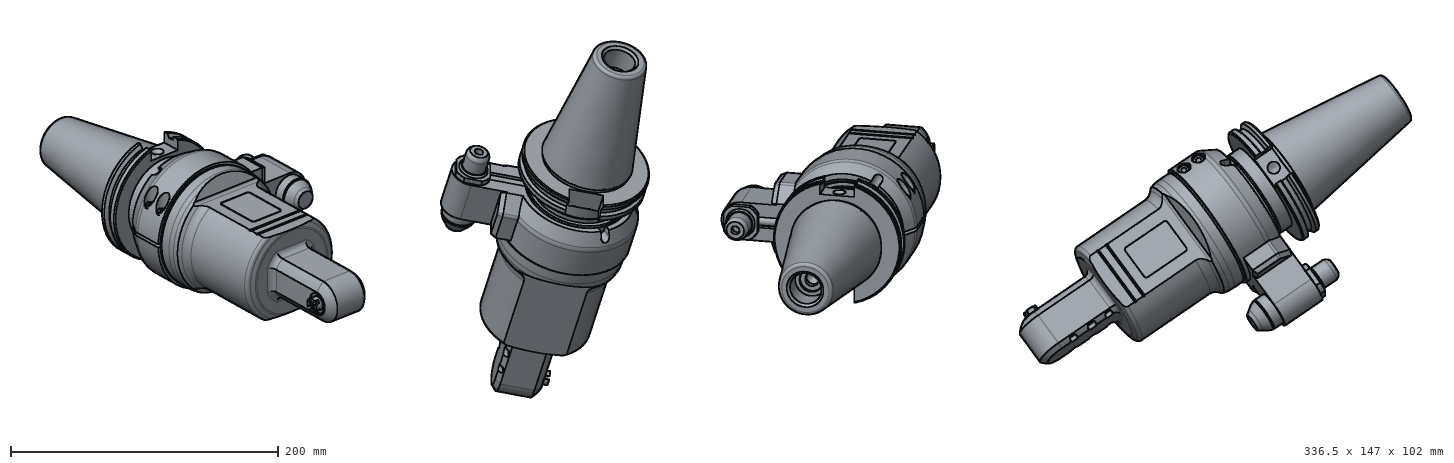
import cadquery as cq
import math


TAPER_END_R = 20.5
GAUGE_R = 35.0
GAUGE_X = 101.5
TAPER_NOSE_FILLET = 2.7
UNDERCUT_R = 34.0
FLANGE_X = 105.0
FLANGE_END_X = 121.0
FLANGE_R = 48.8
FLANGE_CHAMFER = 1.0
GRIP_GROOVE_R = 45.8
GRIP_GROOVE_X = 110.7
GRIP_GROOVE_END_X = 114.8
NECK_R = 35.0
NECK_END_X = 132.3
NECK_CHAMFER = 1.5
DRIVE_SLOT_WIDTH = 26.3
TOP_SLOT_FLOOR = 37.7
BOTTOM_SLOT_FLOOR = 35.0
DIMPLE_D = 9.5
DIMPLE_DEPTH = 4.0
BORE_MOUTH_R = 14.0
BORE_R = 12.0
BORE_DEPTH = 19.5
BORE_STEP_D = 18.0
BORE_STEP_R = BORE_STEP_D / 2
BORE_STEP_DEPTH = 22.2
BORE_DRILL_D = 10.5
BORE_DRILL_R = BORE_DRILL_D / 2
BORE_DRILL_DEPTH = 27.0

HOUSING_NECK_R = 34.5
BARREL_R = 37.5
COLLAR_R = 49.0
COLLAR_STEP_LENGTH = 1.7
COLLAR_STEP_R = 48.8
COLLAR_CYLINDER_END_X = 183.8
COLLAR_TAPER_X = 188.5
COLLAR_TAPER_R = 48.8
COLLAR_EDGE_X = 192.2
COLLAR_EDGE_R = 47.8
BODY_D = 85.0
BODY_R = BODY_D / 2
BODY_BLEND_ANGLE = 45.0
BODY_X = 201.5
BODY_BLEND_R = 10.0
BODY_END_X = 268.0
BODY_END_CONE_X = 266.5
BODY_END_FACE_R = 35.0
BODY_END_ROUND = 3.0
FLAT_Z = 35.0
FLAT_X = 193.5
FLAT_WALL_TOP_X = 186.5
FLAT_WALL_FOOT_X = 191.5
FLAT_WALL_FOOT_RISE = 2.5
PLATE_X = 201.5
PLATE_LENGTH = 38.7
PLATE_WIDTH = 28.3
PLATE_CORNER_R = 2.0
FLAT_GROOVE_XS = (249.0, 256.8)
FLAT_GROOVE_WIDTH = 1.5
ENGRAVING_DEPTH = 0.5

ARM_TIP_X = 336.5
ARM_HALF_HEIGHT = 16.8
ARM_ROUND_D = 42.7
ARM_ROUND_R = ARM_ROUND_D / 2
ARM_FRONT_Y = -19.2
ARM_BACK_Y = 17.0
ARM_ROOT_FILLET = 4.7
SPINDLE_X = ARM_TIP_X - ARM_HALF_HEIGHT
ARM_HOLES = ((275.5, 6.0), (290.8, 7.0), (307.5, 6.0))
ARM_HOLE_Z = 13.5
ARM_HOLE_DEPTH = 3.7
SPINDLE_RECESS_D = 16.0
SPINDLE_RECESS_DEPTH = 1.0

SPINDLE_D = 11.0
SPINDLE_BORE_D = 5.0
SPINDLE_TIP_Y = -24.0
SPINDLE_SEAT_Y = -12.5
SPINDLE_SLOT_WIDTH = 2.5
SPINDLE_SLOT_DEPTH = 3.5
SPINDLE_SLOT_ANGLE = 45.0

RING_X = 136.0
RING_END_X = 173.7
RING_D = 102.0
RING_R = RING_D / 2
RING_FACE_R = 44.0
RING_CONE_ANGLE = 30.0
RING_EDGE_FILLET = 7.5
RING_BORE_CHAMFER = 2.5
SLIT_WIDTH = 2.7
NOTCH_ANGLE = 30.0
NOTCH_WIDTH = 7.0
NOTCH_END_X = 144.0
NOTCH_FLOOR_R = 38.7
SCREW_XS = (153.0, 166.5)
SCREW_Y = -40.5
SCREW_POCKET_D = 10.0
SCREW_POCKET_FLOOR = 22.0
SCREW_HEAD_D = 8.0
SCREW_HEAD_HEIGHT = 1.7
SCREW_SOCKET_D = 4.0
SCREW_SOCKET_DEPTH = 1.5
SCREW_SHANK_D = 5.5
STOP_ARM_END_X = 170.3
STOP_ARM_HALF_WIDTH = 14.8
OVERALL_WIDTH = 147.0
STOP_ARM_TOP_Y = OVERALL_WIDTH - RING_R
STOP_BLOCK_Y = 58.0
STOP_BLOCK_WIDTH = 57.5
STOP_BLOCK_HALF_WIDTH = STOP_BLOCK_WIDTH / 2
STOP_BLOCK_SLOPE_X = 147.5
STOP_BLOCK_SLOPE_Z = 15.8
STOP_BLOCK_BEVEL_HEIGHT = 4.0
STOP_BLOCK_BEVEL_WIDTH = 1.7
STOP_BLOCK_CORNER_R = 3.5
STOP_BLOCK_BASE_Y = 16.8
RELIEF_WIDTH = 8.5
RELIEF_DEPTH = 4.0
RELIEF_TOP_Y = 70.7
ROD_D = 6.5

PIN_Y = 80.5
PIN_SHANK_R = 9.0
PIN_END_X = 114.8
PIN_END_R = 6.7
PIN_END_ROUND_X = 118.5
PIN_SHOULDER_X = 130.0
PIN_SHOULDER_R = 9.8
PIN_NUT_X = 131.5
PIN_NUT_CONE_R = 11.0
PIN_NUT_D = 29.3
PIN_NUT_ACROSS_FLATS = 26.0
PIN_COLLAR_R = 13.0
PIN_COLLAR_END_X = 178.5
PIN_GROOVE_END_X = 179.5
PIN_GROOVE_R = 12.5
PIN_NOSE_X = 186.5
PIN_NOSE_R = 9.0
PIN_CROWN = 0.5
PIN_TIP_X = 189.5
PIN_TIP_R = 7.0
PIN_SOCKET_D = 6.5
PIN_SOCKET_DEPTH = 5.0

PICK_MARGIN = 0.5


def box(x, y, z):
    """Box between the limits given as (low, high) pairs."""
    size = [high - low for low, high in (x, y, z)]
    return cq.Workplane("XY").box(*size, centered=False).translate((x[0], y[0], z[0]))


def cylinder(start, direction, length, diameter):
    return cq.Workplane(cq.Solid.makeCylinder(diameter / 2, length, cq.Vector(*start), cq.Vector(*direction)))


def cone(start, direction, length, diameter):
    return cq.Workplane(cq.Solid.makeCone(diameter / 2, 0, length, cq.Vector(*start), cq.Vector(*direction)))


def revolve_about_x(profile):
    """Solid of revolution of a closed (x, radius) outline about the X axis."""
    return profile.close().revolve(360, (0, 0, 0), (1, 0, 0))


def arbor_turned():
    outline = (
        cq.Workplane("XY")
        .moveTo(0, 0)
        .lineTo(0, TAPER_END_R)
        .lineTo(GAUGE_X, GAUGE_R)
        .lineTo(GAUGE_X, UNDERCUT_R)
        .lineTo(FLANGE_X, UNDERCUT_R)
        .lineTo(FLANGE_X, FLANGE_R - FLANGE_CHAMFER)
        .lineTo(FLANGE_X + FLANGE_CHAMFER, FLANGE_R)
        .lineTo(GRIP_GROOVE_X - 2 * FLANGE_CHAMFER, FLANGE_R)
        .lineTo(GRIP_GROOVE_X, GRIP_GROOVE_R)
        .lineTo(GRIP_GROOVE_END_X, GRIP_GROOVE_R)
        .lineTo(GRIP_GROOVE_END_X + FLANGE_CHAMFER, FLANGE_R)
        .lineTo(FLANGE_END_X - FLANGE_CHAMFER, FLANGE_R)
        .lineTo(FLANGE_END_X, FLANGE_R - FLANGE_CHAMFER)
        .lineTo(FLANGE_END_X, NECK_R)
        .lineTo(NECK_END_X - NECK_CHAMFER, NECK_R)
        .lineTo(NECK_END_X, NECK_R - NECK_CHAMFER)
        .lineTo(NECK_END_X, 0)
    )
    return revolve_about_x(outline).faces("<X").edges().fillet(TAPER_NOSE_FILLET)


def arbor_bore():
    mouth_depth = BORE_MOUTH_R - BORE_R
    outline = (
        cq.Workplane("XY")
        .moveTo(0, 0)
        .lineTo(0, BORE_MOUTH_R)
        .lineTo(mouth_depth, BORE_R)
        .lineTo(BORE_DEPTH, BORE_R)
        .lineTo(BORE_DEPTH, BORE_STEP_R)
        .lineTo(BORE_STEP_DEPTH, BORE_STEP_R)
        .lineTo(BORE_STEP_DEPTH, BORE_DRILL_R)
        .lineTo(BORE_DRILL_DEPTH, BORE_DRILL_R)
        .lineTo(BORE_DRILL_DEPTH + BORE_DRILL_R, 0)
    )
    return revolve_about_x(outline)


def make_arbor():
    flange_x = (FLANGE_X, FLANGE_END_X)
    slot_y = (-DRIVE_SLOT_WIDTH / 2, DRIVE_SLOT_WIDTH / 2)
    groove_middle = (GRIP_GROOVE_X + GRIP_GROOVE_END_X) / 2
    dimple = cone((groove_middle, 0, TOP_SLOT_FLOOR), (0, 0, -1), DIMPLE_DEPTH, DIMPLE_D)
    return (
        arbor_turned()
        .cut(arbor_bore())
        .cut(box(flange_x, slot_y, (TOP_SLOT_FLOOR, FLANGE_R)))
        .cut(box(flange_x, slot_y, (-FLANGE_R, -BOTTOM_SLOT_FLOOR)))
        .cut(dimple)
    )


def housing_turned():
    blend_angle = math.radians(BODY_BLEND_ANGLE)
    blend_x = BODY_X - BODY_BLEND_R * math.sin(blend_angle)
    blend_r = BODY_R + BODY_BLEND_R * (1 - math.cos(blend_angle))
    blend_mid = (
        BODY_X - BODY_BLEND_R * math.sin(blend_angle / 2),
        BODY_R + BODY_BLEND_R * (1 - math.cos(blend_angle / 2)),
    )
    outline = (
        cq.Workplane("XY")
        .moveTo(NECK_END_X, 0)
        .lineTo(NECK_END_X, HOUSING_NECK_R)
        .lineTo(RING_X, HOUSING_NECK_R)
        .lineTo(RING_X, BARREL_R)
        .lineTo(RING_END_X, BARREL_R)
        .lineTo(RING_END_X, COLLAR_STEP_R)
        .lineTo(RING_END_X + COLLAR_STEP_LENGTH, COLLAR_STEP_R)
        .lineTo(RING_END_X + COLLAR_STEP_LENGTH, COLLAR_R)
        .lineTo(COLLAR_CYLINDER_END_X, COLLAR_R)
        .lineTo(COLLAR_TAPER_X, COLLAR_TAPER_R)
        .lineTo(COLLAR_EDGE_X, COLLAR_EDGE_R)
        .lineTo(blend_x, blend_r)
        .threePointArc(blend_mid, (BODY_X, BODY_R))
        .lineTo(BODY_END_CONE_X - BODY_END_ROUND, BODY_R)
        .radiusArc((BODY_END_CONE_X, BODY_R - BODY_END_ROUND), BODY_END_ROUND)
        .lineTo(BODY_END_X, BODY_END_FACE_R)
        .lineTo(BODY_END_X, 0)
    )
    return revolve_about_x(outline)


def flat_cut():
    """Material above the upper flat, with the sloped wall that ends it at the collar."""
    return (
        cq.Workplane("XZ")
        .moveTo(BODY_END_X, FLAT_Z)
        .lineTo(FLAT_X, FLAT_Z)
        .tangentArcPoint((FLAT_WALL_FOOT_X, FLAT_Z + FLAT_WALL_FOOT_RISE), relative=False)
        .lineTo(FLAT_WALL_TOP_X, COLLAR_R)
        .lineTo(BODY_END_X, COLLAR_R)
        .close()
        .extrude(COLLAR_R, both=True)
    )


def flat_engraving():
    """Shallow name-plate recess and two cross grooves in the upper flat."""
    floor = FLAT_Z - ENGRAVING_DEPTH
    plate = box(
        (PLATE_X, PLATE_X + PLATE_LENGTH), (-PLATE_WIDTH / 2, PLATE_WIDTH / 2), (floor, FLAT_Z)
    )
    engraving = plate.edges("|Z").fillet(PLATE_CORNER_R)
    for x in FLAT_GROOVE_XS:
        groove_x = (x - FLAT_GROOVE_WIDTH / 2, x + FLAT_GROOVE_WIDTH / 2)
        engraving = engraving.add(box(groove_x, (-BODY_R, BODY_R), (floor, FLAT_Z)))
    return engraving.combine()


def tool_arm():
    """Round bar with a ball end, flattened on four sides and rounded at the tip."""
    bar = cylinder((BODY_END_X, 0, 0), (1, 0, 0), SPINDLE_X - BODY_END_X, ARM_ROUND_D)
    ball = cq.Workplane("XY").sphere(ARM_ROUND_R).translate((SPINDLE_X, 0, 0))
    height = (-ARM_HALF_HEIGHT, ARM_HALF_HEIGHT)
    depth = (ARM_FRONT_Y, ARM_BACK_Y)
    straight = box((BODY_END_X, SPINDLE_X), depth, height)
    tip = cylinder(
        (SPINDLE_X, ARM_FRONT_Y, 0), (0, 1, 0), ARM_BACK_Y - ARM_FRONT_Y, 2 * ARM_HALF_HEIGHT
    )
    return bar.union(ball).intersect(straight.union(tip))


def arm_holes():
    """Shallow holes along the edges of the back face of the tool arm."""
    holes = cq.Workplane("XY")
    for x, diameter in ARM_HOLES:
        for z in (-ARM_HOLE_Z, ARM_HOLE_Z):
            holes = holes.add(cylinder((x, ARM_BACK_Y, z), (0, -1, 0), ARM_HOLE_DEPTH, diameter))
    return holes.combine()


def make_housing():
    body = housing_turned().union(tool_arm())
    root = cq.selectors.BoxSelector(
        (BODY_END_X - PICK_MARGIN, -ARM_ROUND_R, -ARM_ROUND_R),
        (BODY_END_X + PICK_MARGIN, ARM_ROUND_R, ARM_ROUND_R),
    )
    body = body.edges(root).fillet(ARM_ROOT_FILLET)
    upper_flat = flat_cut()
    lower_flat = upper_flat.mirror("XY")
    recess = cylinder(
        (SPINDLE_X, ARM_FRONT_Y, 0), (0, 1, 0), SPINDLE_RECESS_DEPTH, SPINDLE_RECESS_D
    )
    seat = cylinder(
        (SPINDLE_X, ARM_FRONT_Y, 0), (0, 1, 0), SPINDLE_SEAT_Y - ARM_FRONT_Y, SPINDLE_D
    )
    return (
        body.cut(upper_flat)
        .cut(lower_flat)
        .cut(flat_engraving())
        .cut(arm_holes())
        .cut(recess)
        .cut(seat)
    )


def make_spindle():
    length = SPINDLE_SEAT_Y - SPINDLE_TIP_Y
    tip = (SPINDLE_X, SPINDLE_TIP_Y, 0)
    spindle = cylinder(tip, (0, 1, 0), length, SPINDLE_D)
    spindle = spindle.cut(cylinder(tip, (0, 1, 0), length / 2, SPINDLE_BORE_D))
    slot_y = (SPINDLE_TIP_Y, SPINDLE_TIP_Y + SPINDLE_SLOT_DEPTH)
    half_slot = (-SPINDLE_SLOT_WIDTH / 2, SPINDLE_SLOT_WIDTH / 2)
    half_span = (-SPINDLE_D / 2, SPINDLE_D / 2)
    for x, z in ((half_slot, half_span), (half_span, half_slot)):
        slot = box(x, slot_y, z).rotate((0, 0, 0), (0, 1, 0), SPINDLE_SLOT_ANGLE)
        spindle = spindle.cut(slot.translate((SPINDLE_X, 0, 0)))
    return spindle


def ring_turned():
    cone_length = (RING_R - RING_FACE_R) / math.tan(math.radians(RING_CONE_ANGLE))
    outline = (
        cq.Workplane("XY")
        .moveTo(RING_X, 0)
        .lineTo(RING_X, RING_FACE_R)
        .lineTo(RING_X + cone_length, RING_R)
        .lineTo(RING_END_X, RING_R)
        .lineTo(RING_END_X, 0)
    )
    shoulder_x = RING_X + cone_length
    shoulder = cq.selectors.BoxSelector(
        (shoulder_x - PICK_MARGIN, -RING_D, -RING_D),
        (shoulder_x + PICK_MARGIN, RING_D, RING_D),
        boundingbox=True,
    )
    return revolve_about_x(outline).edges(shoulder).fillet(RING_EDGE_FILLET)


def ring_bore():
    outline = (
        cq.Workplane("XY")
        .moveTo(RING_X, 0)
        .lineTo(RING_X, BARREL_R + RING_BORE_CHAMFER)
        .lineTo(RING_X + RING_BORE_CHAMFER, BARREL_R)
        .lineTo(RING_END_X, BARREL_R)
        .lineTo(RING_END_X, 0)
    )
    return revolve_about_x(outline)


def stop_block():
    """Wide foot of the stop arm, sloped at its -X corners and bevelled at its top."""
    outline = [
        (RING_X, -STOP_BLOCK_SLOPE_Z),
        (STOP_BLOCK_SLOPE_X, -STOP_BLOCK_HALF_WIDTH),
        (STOP_ARM_END_X, -STOP_BLOCK_HALF_WIDTH),
        (STOP_ARM_END_X, STOP_BLOCK_HALF_WIDTH),
        (STOP_BLOCK_SLOPE_X, STOP_BLOCK_HALF_WIDTH),
        (RING_X, STOP_BLOCK_SLOPE_Z),
    ]
    block = (
        cq.Workplane("XZ", origin=(0, STOP_BLOCK_BASE_Y, 0))
        .polyline(outline)
        .close()
        .extrude(STOP_BLOCK_BASE_Y - STOP_BLOCK_Y)
    )
    for side in (-1, 1):
        corner = (STOP_BLOCK_SLOPE_X, STOP_BLOCK_Y / 2, side * STOP_BLOCK_HALF_WIDTH)
        block = block.edges(cq.NearestToPointSelector(corner)).fillet(STOP_BLOCK_CORNER_R)
    return block.faces(">Y").chamfer(STOP_BLOCK_BEVEL_HEIGHT, STOP_BLOCK_BEVEL_WIDTH)


def stop_arm():
    """Upright arm with a round end, holding a small rod in a relief on its -X face."""
    round_y = STOP_ARM_TOP_Y - STOP_ARM_HALF_WIDTH
    width = (-STOP_ARM_HALF_WIDTH, STOP_ARM_HALF_WIDTH)
    upright = box((RING_X, STOP_ARM_END_X), (STOP_BLOCK_BASE_Y, round_y), width)
    end = cylinder(
        (RING_X, round_y, 0), (1, 0, 0), STOP_ARM_END_X - RING_X, 2 * STOP_ARM_HALF_WIDTH
    )
    return upright.union(end)


def relief_cut():
    relief = box(
        (RING_X, RING_X + RELIEF_DEPTH),
        (STOP_BLOCK_BASE_Y, RELIEF_TOP_Y),
        (-RELIEF_WIDTH / 2, RELIEF_WIDTH / 2),
    )
    rod_start = (RING_X + ROD_D / 2, STOP_BLOCK_BASE_Y, 0)
    rod = cylinder(rod_start, (0, 1, 0), RELIEF_TOP_Y - STOP_BLOCK_BASE_Y, ROD_D)
    return relief.cut(rod)


def spanner_notch(side):
    """Radial notch with a round end, open at the ring's -X face; side is +1 or -1 along Z."""
    half_width = NOTCH_WIDTH / 2
    centre_x = NOTCH_END_X - half_width
    radial = box((RING_X, centre_x), (-half_width, half_width), (NOTCH_FLOOR_R, RING_R))
    round_end = cylinder((centre_x, 0, NOTCH_FLOOR_R), (0, 0, 1), RING_R - NOTCH_FLOOR_R, NOTCH_WIDTH)
    notch = radial.union(round_end).rotate((0, 0, 0), (1, 0, 0), NOTCH_ANGLE)
    return notch if side > 0 else notch.mirror("XY")


def clamp_screw_pocket(x):
    return cylinder((x, SCREW_Y, SCREW_POCKET_FLOOR), (0, 0, 1), RING_R, SCREW_POCKET_D)


def clamp_screw(x):
    """Screw head in its pocket and the shank that crosses the slit."""
    top = SCREW_POCKET_FLOOR + SCREW_HEAD_HEIGHT
    head = cylinder((x, SCREW_Y, SCREW_POCKET_FLOOR), (0, 0, 1), SCREW_HEAD_HEIGHT, SCREW_HEAD_D)
    shank = cylinder(
        (x, SCREW_Y, -SCREW_POCKET_FLOOR), (0, 0, 1), 2 * SCREW_POCKET_FLOOR, SCREW_SHANK_D
    )
    socket = cone((x, SCREW_Y, top), (0, 0, -1), SCREW_SOCKET_DEPTH, SCREW_SOCKET_D)
    return head.union(shank).cut(socket)


def make_ring():
    ring = ring_turned().union(stop_block()).union(stop_arm())
    ring = ring.cut(relief_cut())
    ring = ring.cut(box((RING_X, RING_END_X), (-RING_R, 0), (-SLIT_WIDTH / 2, SLIT_WIDTH / 2)))
    for side in (-1, 1):
        ring = ring.cut(spanner_notch(side))
    for x in SCREW_XS:
        ring = ring.cut(clamp_screw_pocket(x)).union(clamp_screw(x))
    ring = ring.cut(ring_bore())
    pin_hole = cylinder((RING_X, PIN_Y, 0), (1, 0, 0), STOP_ARM_END_X - RING_X, 2 * PIN_SHANK_R)
    return ring.cut(pin_hole)


def make_stop_pin():
    end_mid = ((PIN_END_X + PIN_END_ROUND_X) / 2, (PIN_END_R + PIN_SHANK_R) / 2 + PIN_CROWN)
    nose_mid = ((PIN_GROOVE_END_X + PIN_NOSE_X) / 2, (PIN_COLLAR_R + PIN_NOSE_R) / 2 + PIN_CROWN)
    shank_outline = (
        cq.Workplane("XY")
        .moveTo(PIN_END_X, 0)
        .lineTo(PIN_END_X, PIN_END_R)
        .threePointArc(end_mid, (PIN_END_ROUND_X, PIN_SHANK_R))
        .lineTo(PIN_SHOULDER_X, PIN_SHANK_R)
        .lineTo(PIN_SHOULDER_X, PIN_SHOULDER_R)
        .lineTo(PIN_NUT_X, PIN_NUT_CONE_R)
        .lineTo(RING_X, PIN_NUT_CONE_R)
        .lineTo(RING_X, PIN_SHANK_R)
        .lineTo(STOP_ARM_END_X, PIN_SHANK_R)
        .lineTo(STOP_ARM_END_X, PIN_COLLAR_R)
        .lineTo(PIN_COLLAR_END_X, PIN_COLLAR_R)
        .lineTo(PIN_COLLAR_END_X, PIN_GROOVE_R)
        .lineTo(PIN_GROOVE_END_X, PIN_GROOVE_R)
        .lineTo(PIN_GROOVE_END_X, PIN_COLLAR_R)
        .threePointArc(nose_mid, (PIN_NOSE_X, PIN_NOSE_R))
        .lineTo(PIN_TIP_X, PIN_TIP_R)
        .lineTo(PIN_TIP_X, 0)
    )
    half_flats = PIN_NUT_ACROSS_FLATS / 2
    flats = box((PIN_NUT_X, RING_X), (-half_flats, half_flats), (-half_flats, half_flats))
    nut = cylinder((PIN_NUT_X, 0, 0), (1, 0, 0), RING_X - PIN_NUT_X, PIN_NUT_D).intersect(flats)
    socket = cylinder((PIN_END_X, 0, 0), (1, 0, 0), PIN_SOCKET_DEPTH, PIN_SOCKET_D)
    pin = revolve_about_x(shank_outline).union(nut).cut(socket)
    return pin.translate((0, PIN_Y, 0))


arbor = make_arbor()
housing = make_housing()
spindle = make_spindle()
clamp_ring = make_ring()
stop_pin = make_stop_pin()

result = cq.Compound.makeCompound(
    [arbor.val(), housing.val(), spindle.val(), clamp_ring.val(), stop_pin.val()]
)